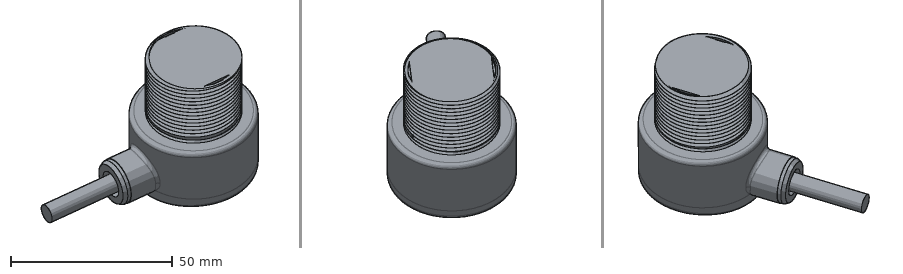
import cadquery as cq
import math

DRUM_RADIUS = 20.09
DRUM_HEIGHT = 22.7
RIM_FILLET = 1.5
SEAM_HEIGHT = 3.7

TOTAL_HEIGHT = 45.05
THREAD_RADIUS = 15.05
THREAD_ROOT_RADIUS = 13.8
THREAD_PITCH = 1.5
CREST_WIDTH = 0.06
CUTTER_OVERLAP = 0.02
THREAD_START_HEIGHT = 24.67
THREAD_START_ANGLE = 30

RELIEF_DEPTH = 0.65
RELIEF_TOP = 23.95
BARREL_EMBED = 1.0

FACE_RADIUS = 13.6
FACE_FLAT_DISTANCE = 12.8
FACE_RECESS_DEPTH = 1.0

GLAND_RADIUS = 7.6
GLAND_AXIS_HEIGHT = GLAND_RADIUS
GLAND_END = 31.05
NOSE_RADIUS = 7.42
NOSE_LENGTH = 2.5
NOSE_CHAMFER_LENGTH = 1.3
NOSE_FACE_RADIUS = 6.7
GLAND_FILLET = 1.3
FADED_FILLET = 0.05

CABLE_RADIUS = 3.03
CABLE_END = 55.17
MOUTH_RADIUS = 4.3
MOUTH_DEPTH = 3.0


def turned_along_y(profile):
    """Turn a (radius, distance) profile about the gland axis, which points along -Y."""
    points = [(radius, -distance) for radius, distance in profile]
    solid = cq.Workplane("XY").polyline(points).close().revolve(360, (0, 0, 0), (0, 1, 0))
    return solid.rotate((0, 0, 0), (0, 1, 0), 90).translate((0, 0, GLAND_AXIS_HEIGHT))


def gland():
    nose_start = GLAND_END - NOSE_LENGTH
    chamfer_start = GLAND_END - NOSE_CHAMFER_LENGTH
    return turned_along_y([
        (0, 0),
        (GLAND_RADIUS, 0),
        (GLAND_RADIUS, nose_start),
        (NOSE_RADIUS, nose_start),
        (NOSE_RADIUS, chamfer_start),
        (NOSE_FACE_RADIUS, GLAND_END),
        (0, GLAND_END),
    ])


def fading_fillet(body, edge, first_radius, radii):
    """Fillet a chain of tangent edges; radii holds the (start, end) radius of each edge in the chain."""
    maker = cq.occ_impl.shapes.BRepFilletAPI_MakeFillet(body.val().wrapped)
    maker.Add(first_radius, edge.val().wrapped)
    for position, (start_radius, end_radius) in enumerate(radii, start=1):
        maker.SetRadius(start_radius, end_radius, 1, position)
    maker.Build()
    return cq.Workplane(obj=cq.Shape.cast(maker.Shape()))


def slab(bottom, top):
    """Block wider than the whole part, used to keep only what lies between two heights."""
    size = 4 * GLAND_END
    return cq.Workplane("XY", origin=(0, 0, bottom)).rect(size, size).extrude(top - bottom)


def upper_drum():
    """Drum above the parting line; its fillet around the gland fades out at that line."""
    drum = (
        cq.Workplane("XY", origin=(0, 0, SEAM_HEIGHT))
        .circle(DRUM_RADIUS)
        .extrude(DRUM_HEIGHT - SEAM_HEIGHT)
        .faces(">Z").edges()
        .fillet(RIM_FILLET)
    )
    gland_above_axis = gland().intersect(slab(GLAND_AXIS_HEIGHT, DRUM_HEIGHT))
    gland_below_axis = gland().intersect(slab(SEAM_HEIGHT, GLAND_AXIS_HEIGHT))
    body = drum.union(gland_above_axis, clean=False).union(gland_below_axis, clean=False)
    root_curve = body.edges("%BSPLINE").edges(">Z")
    radii = [
        (FADED_FILLET, GLAND_FILLET),
        (GLAND_FILLET, GLAND_FILLET),
        (GLAND_FILLET, FADED_FILLET),
    ]
    return fading_fillet(body, root_curve, GLAND_FILLET, radii)


def lower_drum():
    """Drum below the parting line; its bottom rounding fades out under the gland."""
    diagonal = DRUM_RADIUS * math.sqrt(0.5)
    drum = (
        cq.Workplane("XY")
        .moveTo(-DRUM_RADIUS, 0)
        .threePointArc((0, DRUM_RADIUS), (DRUM_RADIUS, 0))
        .threePointArc((diagonal, -diagonal), (0, -DRUM_RADIUS))
        .threePointArc((-diagonal, -diagonal), (-DRUM_RADIUS, 0))
        .close()
        .extrude(SEAM_HEIGHT, clean=False)
    )
    rear_rim = drum.faces("<Z").edges(">Y")
    radii = [
        (RIM_FILLET, RIM_FILLET),
        (RIM_FILLET, FADED_FILLET),
        (FADED_FILLET, RIM_FILLET),
    ]
    rounded = fading_fillet(drum, rear_rim, RIM_FILLET, radii)
    return rounded.union(gland().intersect(slab(0, SEAM_HEIGHT)))


def thread_cutter():
    """Sharp V-section helical solid, bounded by three ruled helical faces and two end triangles."""
    root_depth = THREAD_RADIUS - THREAD_ROOT_RADIUS
    half_width = (THREAD_PITCH - CREST_WIDTH) / 2
    outer_radius = THREAD_RADIUS + CUTTER_OVERLAP
    outer_half_width = half_width * (root_depth + CUTTER_OVERLAP) / root_depth
    length = TOTAL_HEIGHT + THREAD_PITCH - THREAD_START_HEIGHT

    corners = [
        (THREAD_ROOT_RADIUS, 0),
        (outer_radius, outer_half_width),
        (outer_radius, -outer_half_width),
    ]
    helices = [
        cq.Wire.makeHelix(THREAD_PITCH, length, radius).translate(cq.Vector(0, 0, offset))
        for radius, offset in corners
    ]
    faces = [
        cq.Face.makeRuledSurface(helices[i - 1], helices[i])
        for i in range(len(helices))
    ]
    for end in (0, 1):
        triangle = cq.Wire.makePolygon([helix.positionAt(end) for helix in helices], close=True)
        faces.append(cq.Face.makeFromWires(triangle))
    cutter = cq.Workplane(obj=cq.Solid.makeSolid(cq.Shell.makeShell(faces)))
    return (
        cutter
        .rotate((0, 0, 0), (0, 0, 1), THREAD_START_ANGLE)
        .translate((0, 0, THREAD_START_HEIGHT))
    )


def threaded_barrel():
    barrel = (
        cq.Workplane("XZ")
        .polyline([
            (0, DRUM_HEIGHT - BARREL_EMBED),
            (THREAD_RADIUS, DRUM_HEIGHT - BARREL_EMBED),
            (THREAD_RADIUS, DRUM_HEIGHT),
            (THREAD_RADIUS - RELIEF_DEPTH, (DRUM_HEIGHT + RELIEF_TOP) / 2),
            (THREAD_RADIUS, RELIEF_TOP),
            (THREAD_RADIUS, TOTAL_HEIGHT),
            (0, TOTAL_HEIGHT),
        ])
        .close()
        .revolve(360, (0, 0, 0), (0, 1, 0))
    )
    return barrel.cut(thread_cutter())


def face_recesses():
    """Two circle segments left between the round rim and the flats of the sensing face."""
    round_recess = (
        cq.Workplane("XY", origin=(0, 0, TOTAL_HEIGHT - FACE_RECESS_DEPTH))
        .circle(FACE_RADIUS)
        .extrude(FACE_RECESS_DEPTH)
    )
    flatted_face = (
        cq.Workplane("XY", origin=(0, 0, TOTAL_HEIGHT - FACE_RECESS_DEPTH))
        .rect(2 * FACE_FLAT_DISTANCE, 2 * DRUM_RADIUS)
        .extrude(FACE_RECESS_DEPTH)
    )
    return round_recess.cut(flatted_face)


def cable_mouth():
    """Cone narrowing from the gland face down to the cable."""
    return turned_along_y([
        (0, GLAND_END - MOUTH_DEPTH),
        (CABLE_RADIUS, GLAND_END - MOUTH_DEPTH),
        (MOUTH_RADIUS, GLAND_END),
        (0, GLAND_END),
    ])


def make_housing():
    drum = upper_drum().union(lower_drum())
    return drum.union(threaded_barrel()).cut(face_recesses()).cut(cable_mouth())


def make_cable():
    return turned_along_y([
        (0, GLAND_END - MOUTH_DEPTH),
        (CABLE_RADIUS, GLAND_END - MOUTH_DEPTH),
        (CABLE_RADIUS, CABLE_END),
        (0, CABLE_END),
    ])


housing = make_housing()
cable = make_cable()

result = cq.Compound.makeCompound([housing.val(), cable.val()])